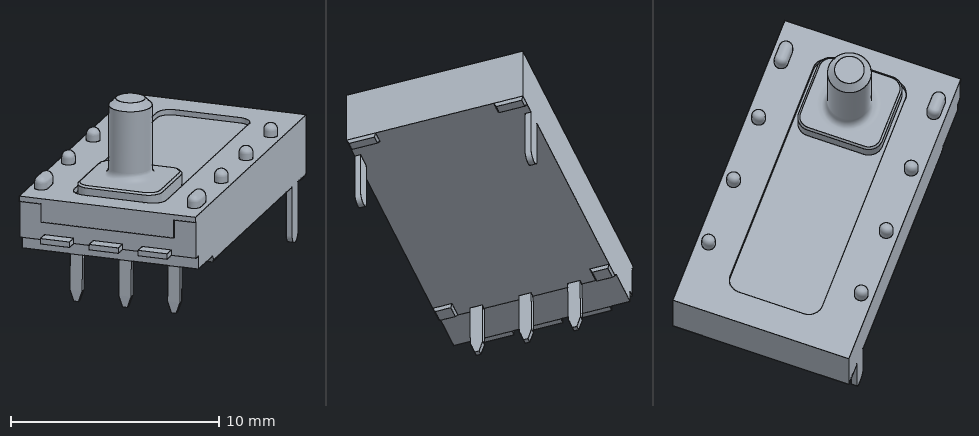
import cadquery as cq
import math


overall_length = 16.2
width = 9.0
length = 15.7
height = 3.03
sheet = 0.28
front_inset = 0.1
step_inset = 0.42
step_top = 2.12
nose_bottom = 2.79
slope_start = 2.41
slope_end = 2.58
front_tab_width = 6.79
front_tab_drop = 1.2

slot_width = 4.71
slot_front = 1.18
slot_back = 14.2
corner_radius = 0.7
pad_width = 4.28
pad_length = 4.03
pad_top = 0.47
pad_chamfer = 0.1
knob_y = 3.27
knob_diameter = 2.1
knob_top = 4.45
knob_chamfer = 0.34
knob_fillet = 0.47

rivet_x = 3.9
rivet_diameter = 0.66
rivet_radius = rivet_diameter / 2
rivet_pitch = 3.5
first_rivet_y = 1.81
rivet_shank = 0.3
long_rivet_stretch = 0.66
long_rivet_start = first_rivet_y - long_rivet_stretch / 2

leg_bottom = 5.98
leg_thickness = 0.3
leg_width = 0.85
leg_y = 14.11
foot_height = 0.16
foot_inset = 0.1
back_foot_size = (1.49, 0.63)
front_foot_size = (0.99, 0.85)

terminal_pitch = 2.5
lug_width = 1.49
lug_reach = overall_length - length
pin_width = 0.63
pin_thickness = 0.29
pin_lean = 0.06
pin_front = 2.55
pin_bottom = 5.96
pin_tip_height = 0.57
pin_tip_width = 0.25
pin_tip_thickness = 0.26


def block(x_size, y_start, y_end, z_bottom, z_top, x_center=0):
    """Axis-aligned block centred on x_center."""
    return (
        cq.Workplane("XY")
        .box(x_size, y_end - y_start, z_top - z_bottom, centered=(True, False, False))
        .translate((x_center, y_start, z_bottom))
    )


def make_housing():
    side_profile = [
        (front_inset, 0),
        (front_inset, -step_top),
        (step_inset, -step_top),
        (step_inset, -nose_bottom),
        (slope_start, -nose_bottom),
        (slope_end, -height),
        (length, -height),
        (length, 0),
    ]
    body = cq.Workplane("YZ").polyline(side_profile).close().extrude(width / 2, both=True)
    cover = block(width, 0, length, -sheet, 0)
    front_tab = block(front_tab_width, 0, sheet, -front_tab_drop, 0)
    slot = block(slot_width, slot_front, slot_back, -sheet, 0).edges("|Z").fillet(corner_radius)
    return body.union(cover).union(front_tab).cut(slot)


def make_slider():
    pad = block(pad_width, slot_front, slot_front + pad_length, -sheet, pad_top)
    pad = pad.edges("|Z").fillet(corner_radius).faces(">Z").chamfer(pad_chamfer)
    radius = knob_diameter / 2
    knob_profile = (
        cq.Workplane("XZ")
        .moveTo(0, 0)
        .lineTo(radius + knob_fillet, 0)
        .lineTo(radius + knob_fillet, pad_top)
        .radiusArc((radius, pad_top + knob_fillet), knob_fillet)
        .lineTo(radius, knob_top - knob_chamfer)
        .lineTo(radius - knob_chamfer, knob_top)
        .lineTo(0, knob_top)
        .close()
    )
    knob = knob_profile.revolve(360, (0, 0, 0), (0, 1, 0)).translate((0, knob_y, 0))
    return pad.union(knob)


def make_rivet(x, y):
    """Upright round pin with a domed top, rooted in the cover."""
    shank = cq.Workplane("XY").circle(rivet_radius).extrude(sheet + rivet_shank)
    dome = cq.Workplane("XY").sphere(rivet_radius).translate((0, 0, sheet + rivet_shank))
    return shank.union(dome).translate((x, y, -sheet))


def make_long_rivet(x):
    """Two round rivets joined by a straight stretch with a half-round crown."""
    start = long_rivet_start
    end = start + long_rivet_stretch
    middle = block(rivet_diameter, start, end, -sheet, rivet_shank, x)
    crown = cq.Workplane("XZ").circle(rivet_radius).extrude(-long_rivet_stretch)
    crown = crown.translate((x, start, rivet_shank))
    return make_rivet(x, start).union(make_rivet(x, end)).union(middle).union(crown)


def make_leg(side):
    """Round-ended leg flush with one long side of the housing."""
    outer = side * width / 2
    half_width = leg_width / 2
    profile = (
        cq.Workplane("YZ")
        .moveTo(leg_y - half_width, -height + sheet)
        .lineTo(leg_y - half_width, -leg_bottom + half_width)
        .threePointArc((leg_y, -leg_bottom), (leg_y + half_width, -leg_bottom + half_width))
        .lineTo(leg_y + half_width, -height + sheet)
        .close()
    )
    return profile.extrude(-side * leg_thickness).translate((outer, 0, 0))


def make_foot(side, size, y_start):
    """Standoff under the housing that narrows on all sides towards its bottom."""
    x_size, y_size = size
    taper = math.degrees(math.atan(foot_inset / foot_height))
    foot = cq.Workplane("XY").rect(x_size, y_size).extrude(-foot_height, taper=taper)
    return foot.translate((side * (width - x_size) / 2, y_start + y_size / 2, -height))


def make_terminal(x):
    """Front lug and the leaning, pointed pin below it."""
    lug = block(lug_width, -lug_reach, step_inset, -step_top, -step_top + sheet, x)
    tip_start = -pin_bottom + pin_tip_height
    half_outline = [
        (pin_width / 2, -height),
        (pin_width / 2, tip_start),
        (pin_tip_width / 2, -pin_bottom),
    ]
    outline = half_outline + [(-px, pz) for px, pz in reversed(half_outline)]
    front_shape = cq.Workplane("XZ").polyline(outline).close().extrude(-length).translate((x, 0, 0))
    pin_side = [
        (pin_front, -height),
        (pin_front - pin_lean, tip_start),
        (pin_front - pin_lean, -pin_bottom),
        (pin_front - pin_lean + pin_tip_thickness, -pin_bottom),
        (pin_front - pin_lean + pin_thickness, tip_start),
        (pin_front + pin_thickness, -height),
    ]
    leaning_strip = cq.Workplane("YZ").polyline(pin_side).close().extrude(width, both=True)
    return lug.union(front_shape.intersect(leaning_strip))


result = make_housing().union(make_slider())
for side in (-1, 1):
    result = result.union(make_long_rivet(side * rivet_x))
    for index in (1, 2, 3):
        result = result.union(make_rivet(side * rivet_x, first_rivet_y + index * rivet_pitch))
    result = result.union(make_leg(side))
    result = result.union(make_foot(side, back_foot_size, length - back_foot_size[1]))
    result = result.union(make_foot(side, front_foot_size, slope_end))
for position in (-1, 0, 1):
    result = result.union(make_terminal(position * terminal_pitch))